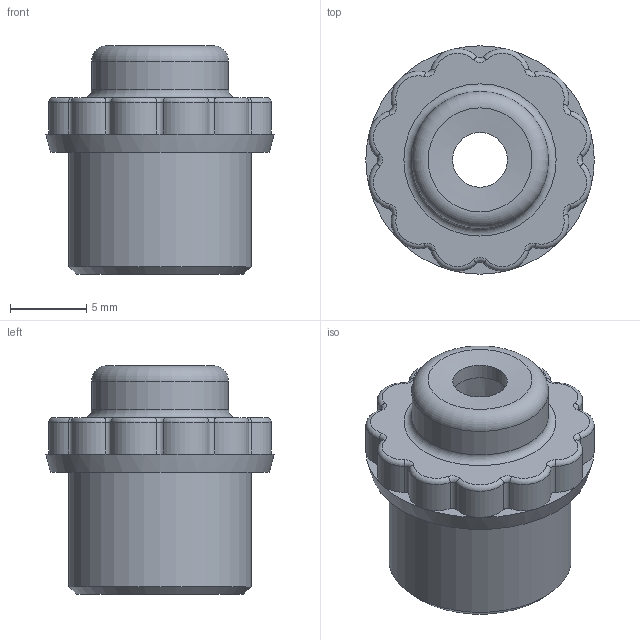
import cadquery as cq
import math

body_radius = 6.0
body_chamfer = 0.5
flange_radius = 7.5
flange_bottom_z = 8.0
flange_top_z = 9.2
flange_taper_angle = 15.0
grip_top_z = 11.6
nose_radius = 4.5
nose_base_fillet = 0.5
nose_top_fillet = 1.0
total_height = 15.0

dish_angle = 5.0
hole_radius = 1.8
wall_thickness = 1.0
bore_top_radius = nose_radius - wall_thickness
bore_draft_angle = 1.0

round_center_radius = nose_radius - nose_top_fillet
round_center_z = total_height - nose_top_fillet
dish_rim_radius = round_center_radius - nose_top_fillet * math.sin(math.radians(dish_angle))
dish_rim_z = round_center_z + nose_top_fillet * math.cos(math.radians(dish_angle))

lobe_count = 12
lobe_radius = 1.8
lobe_center_radius = flange_radius - lobe_radius
valley_radius = 0.3
grip_edge_fillet = 0.3


def polar_point(radius, angle):
    """Point at a distance and an angle in degrees from the part axis."""
    return (radius * math.cos(math.radians(angle)), radius * math.sin(math.radians(angle)))


def point_between(start, end, distance):
    """Point at the given distance from start on the line to end."""
    fraction = distance / math.dist(start, end)
    return (start[0] + fraction * (end[0] - start[0]), start[1] + fraction * (end[1] - start[1]))


def revolve_about_axis(profile):
    """Full revolution of a closed radius-height profile about the part axis."""
    return profile.close().revolve(360, (0, 0, 0), (0, 1, 0))


def make_body():
    """Plug, tapered flange and solid core up to the grip top."""
    flange_bottom_radius = flange_radius - (flange_top_z - flange_bottom_z) * math.tan(
        math.radians(flange_taper_angle)
    )
    core_radius = nose_radius + nose_base_fillet
    profile = (
        cq.Workplane("XZ")
        .moveTo(0, 0)
        .lineTo(body_radius - body_chamfer, 0)
        .lineTo(body_radius, body_chamfer)
        .lineTo(body_radius, flange_bottom_z)
        .lineTo(flange_bottom_radius, flange_bottom_z)
        .lineTo(flange_radius, flange_top_z)
        .lineTo(core_radius, flange_top_z)
        .lineTo(core_radius, grip_top_z)
        .lineTo(0, grip_top_z)
    )
    return revolve_about_axis(profile)


def make_grip():
    """Ring of convex lobes joined by small tangent valleys, rounded on top."""
    half_pitch = 180 / lobe_count
    valley_center_radius = lobe_center_radius * math.cos(math.radians(half_pitch)) + math.sqrt(
        (lobe_radius + valley_radius) ** 2
        - (lobe_center_radius * math.sin(math.radians(half_pitch))) ** 2
    )

    def valley_to_lobe(valley_angle, lobe_angle):
        """Tangent point between a valley arc and a neighbouring lobe."""
        valley_center = polar_point(valley_center_radius, valley_angle)
        lobe_center = polar_point(lobe_center_radius, lobe_angle)
        return point_between(valley_center, lobe_center, valley_radius)

    outline = cq.Workplane("XY").workplane(offset=flange_top_z).moveTo(*valley_to_lobe(0, half_pitch))
    for index in range(lobe_count):
        lobe_angle = (2 * index + 1) * half_pitch
        valley_angle = lobe_angle + half_pitch
        outline = outline.threePointArc(
            polar_point(flange_radius, lobe_angle), valley_to_lobe(valley_angle, lobe_angle)
        ).threePointArc(
            polar_point(valley_center_radius - valley_radius, valley_angle),
            valley_to_lobe(valley_angle, valley_angle + half_pitch),
        )
    ring = outline.close().extrude(grip_top_z - flange_top_z)
    return ring.faces(">Z").edges().fillet(grip_edge_fillet)


def dish_height(radius):
    """Height of the dished nose face at a given radius."""
    return dish_rim_z - (dish_rim_radius - radius) * math.tan(math.radians(dish_angle))


def make_nose():
    """Rounded nose with a concave fillet at its foot and a dished top."""
    foot_center = (nose_radius + nose_base_fillet, grip_top_z + nose_base_fillet)
    foot_offset = nose_base_fillet * math.cos(math.radians(45))
    foot_middle = (foot_center[0] - foot_offset, foot_center[1] - foot_offset)
    round_offset = nose_top_fillet * math.cos(math.radians(45))
    round_middle = (round_center_radius + round_offset, round_center_z + round_offset)
    profile = (
        cq.Workplane("XZ")
        .moveTo(0, grip_top_z)
        .lineTo(foot_center[0], grip_top_z)
        .threePointArc(foot_middle, (nose_radius, foot_center[1]))
        .lineTo(nose_radius, round_center_z)
        .threePointArc(round_middle, (dish_rim_radius, dish_rim_z))
        .lineTo(0, dish_height(0))
    )
    return revolve_about_axis(profile)


def make_bore():
    """Through opening: short hole in the nose over a wider bore that widens to the bottom."""
    hole_bottom_z = dish_height(hole_radius) - wall_thickness
    bore_mouth_radius = bore_top_radius + hole_bottom_z * math.tan(math.radians(bore_draft_angle))
    profile = (
        cq.Workplane("XZ")
        .moveTo(0, 0)
        .lineTo(bore_mouth_radius, 0)
        .lineTo(bore_top_radius, hole_bottom_z)
        .lineTo(hole_radius, hole_bottom_z)
        .lineTo(hole_radius, total_height)
        .lineTo(0, total_height)
    )
    return revolve_about_axis(profile)


result = make_body().union(make_grip()).union(make_nose()).cut(make_bore())